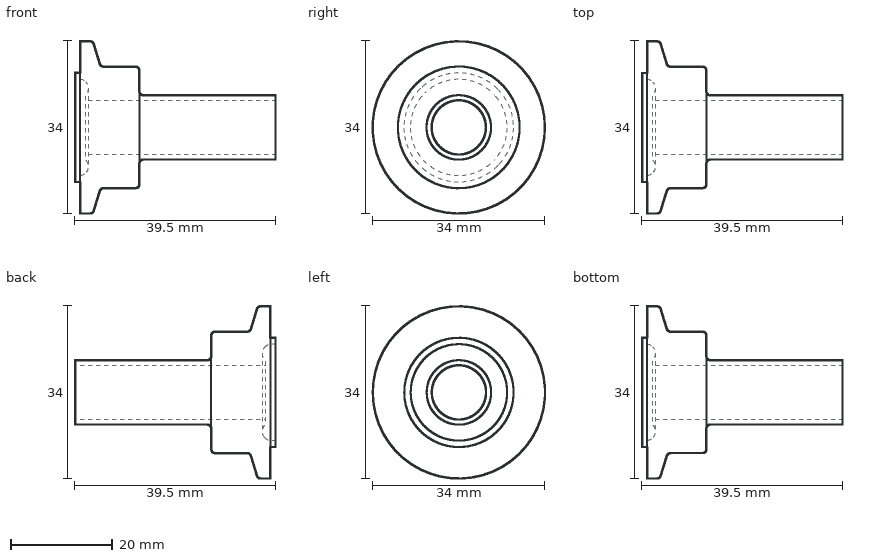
import cadquery as cq
import math

total_length = 39.5
lip_height = 1.0
recess_wall_depth = 0.8
flange_rim_end = 2.92
collar_start = 5.55
collar_end = 12.68
tube_front = 2.0

flange_radius = 34.0 / 2
collar_radius = 12.0
lip_radius = 10.8
recess_radius = 9.5
tube_radius = 6.35
bore_radius = 5.35

edge_round = 0.8
cone_slope = math.radians(17)


def polar(center, radius, angle):
    """Point on a circle in the (axial, radial) half-plane."""
    return (center[0] + radius * math.cos(angle), center[1] + radius * math.sin(angle))


rim_center = (flange_rim_end, flange_radius - edge_round)
rim_middle = polar(rim_center, edge_round, (math.pi / 2 + cone_slope) / 2)
rim_tangent = polar(rim_center, edge_round, cone_slope)

cone_at_collar = rim_tangent[0] + (rim_tangent[1] - collar_radius) * math.tan(cone_slope)
foot_radius = (collar_start - cone_at_collar) / math.tan((math.pi / 2 - cone_slope) / 2)
foot_center = (collar_start, collar_radius + foot_radius)
foot_tangent = polar(foot_center, foot_radius, math.pi + cone_slope)
foot_middle = polar(foot_center, foot_radius, (2.5 * math.pi + cone_slope) / 2)

collar_center = (collar_end - edge_round, collar_radius - edge_round)
neck_center = (collar_end + edge_round, tube_radius + edge_round)

round_depth = tube_front - recess_wall_depth
recess_width = recess_radius - tube_radius
groove_radius = (round_depth**2 + recess_width**2) / (2 * recess_width)
groove_center = (recess_wall_depth, recess_radius - groove_radius)
groove_bottom = polar(groove_center, groove_radius, 0)

half_section = (
    cq.Workplane("XY")
    .moveTo(0, recess_radius)
    .lineTo(0, lip_radius)
    .lineTo(lip_height, lip_radius)
    .lineTo(lip_height, flange_radius)
    .lineTo(flange_rim_end, flange_radius)
    .threePointArc(rim_middle, rim_tangent)
    .lineTo(*foot_tangent)
    .threePointArc(foot_middle, (collar_start, collar_radius))
    .lineTo(collar_end - edge_round, collar_radius)
    .threePointArc(
        polar(collar_center, edge_round, math.pi / 4),
        (collar_end, collar_radius - edge_round),
    )
    .lineTo(collar_end, tube_radius + edge_round)
    .threePointArc(
        polar(neck_center, edge_round, 1.25 * math.pi),
        (collar_end + edge_round, tube_radius),
    )
    .lineTo(total_length, tube_radius)
    .lineTo(total_length, bore_radius)
    .lineTo(tube_front, bore_radius)
    .lineTo(tube_front, tube_radius)
    .threePointArc(groove_bottom, (recess_wall_depth, recess_radius))
    .close()
)

result = half_section.revolve(360, (0, 0, 0), (1, 0, 0))